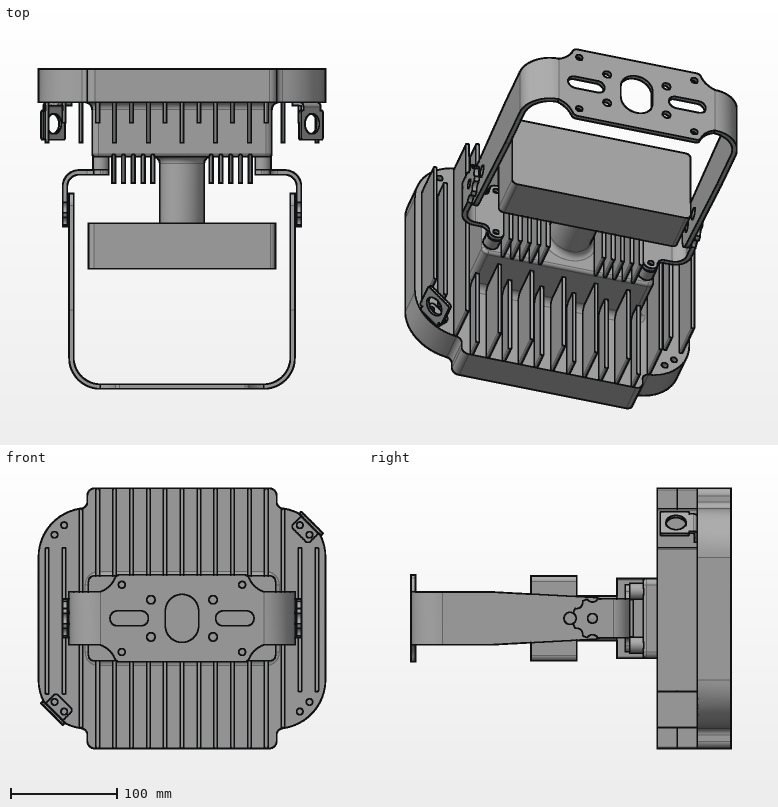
import cadquery as cq
import math


plate_width = 270.5
plate_height = 208.0
plate_corner = 46.5
plate_depth = 31.7
band_width = 178.5
band_height = 245.2
band_corner = 7.0
band_blend = 6.0

clip_hole_diameter = 6.0
clip_hole_near = 78.7
clip_hole_far = 87.8
clip_hole_shift = 32.3
clip_hole_bore = 15.0

fin_thickness = 3.3
fin_end_round = 1.5
outer_fin_x = 127.0
fins_per_side = 8
fin_pitch = outer_fin_x / fins_per_side
long_fin_depth = 69.7
short_fin_depth = 50.7
last_band_fin = 5
shoulder_fin_half = 103.2
side_fin_top = 66.7
side_fin_bottom_left = -71.5
side_fin_bottom_right = -69.0

box_width = 169.5
box_height = 75.5
box_depth = 83.0
box_corner = 6.0
box_base_fillet = 6.5
box_rim_fillet = 3.0

box_fin_first_x = 27.5
box_fin_last_x = 64.2
box_fins_per_side = 5
box_fin_depth = 107.7
box_fin_thickness = 3.5

neck_radius = 21.0
neck_fillet = 6.0

boss_x = 76.3
boss_z = 25.3
boss_radius = 7.5
boss_hole_radius = 2.7

block_width = 176.0
block_height = 80.0
block_start = 145.5
block_end = 188.5
block_corner = 5.0

arm_thickness = 4.5
arm_outer_x = 112.5
arm_inner_end_x = 68.8
arm_start = 95.3
arm_bend = 15.7
arm_half = 18.5
lug_half = 31.7
lug_outer_x = 83.0
lug_round = 6.0
lug_blend = 7.0
pad_half = 17.5
pad_thickness = 3.3

pivot_depth = 130.5
pivot_radius = 4.5
index_plate_radius = 18.7
index_circle = 21.0
index_radius = 5.7

yoke_thickness = 4.5
yoke_outer_x = 106.5
yoke_start = 117.3
yoke_end = 301.5
yoke_bend = 29.5
yoke_tip_half = 19.0
yoke_tip_round = 11.8
yoke_taper_depth = 226.8
yoke_half = 25.0
foot_half = 41.0
foot_top_x = 62.0
foot_shoulder_sag = 2.7
foot_corner = 4.5

foot_corner_hole = (56.7, 31.7, 6.3)
foot_inner_hole = (29.3, 17.5, 7.8)
cable_slot_width = 31.5
cable_slot_height = 45.2
side_slot_x = 49.8
side_slot_length = 36.2
side_slot_height = 14.2

clip_thickness = 3.0
clip_inner_bend = 1.0
clip_outer = 150.5
clip_inner = 133.5
clip_foot_width = 23.0
clip_foot_corner = 3.0
clip_tab_width = 29.3
clip_tab_start = 39.2
clip_tab_end = 67.0
clip_tab_corner = 2.5
clip_tab_hole = 19.0
clip_tab_hole_depth = 52.0
clip_angle = 45.0

SIDES = (-1, 1)
MARGIN = 0.3


def at_depth(depth):
    """Plane facing -Y at a depth; local x is X and local y is Z."""
    return cq.Workplane("XZ", origin=(0, -depth, 0))


def fin(x, thickness, bottom, top, start, end):
    """Upright plate with rounded top and bottom ends."""
    return (
        at_depth(start)
        .center(x, (bottom + top) / 2)
        .rect(thickness, top - bottom)
        .extrude(end - start)
        .edges("|Y")
        .fillet(fin_end_round)
    )


def side_bar(radius, depth, z):
    """Long round bar along X, used to cut through upright strips."""
    bar = cq.Workplane("YZ").center(-depth, z).circle(radius)
    return bar.extrude(yoke_end, both=True)


def make_plate():
    body = at_depth(0).rect(plate_width, plate_height).extrude(plate_depth)
    body = body.edges("|Y").fillet(plate_corner)
    band = at_depth(0).rect(band_width, band_height).extrude(plate_depth)
    band = band.edges("|Y").fillet(band_corner)
    plate = body.union(band)
    corner_edges = plate.edges("|Y").filter(
        lambda e: abs(abs(e.Center().x) - band_width / 2) < MARGIN
        and abs(abs(e.Center().z) - plate_height / 2) < MARGIN
    )
    return corner_edges.fillet(band_blend)


def make_housing():
    body = make_plate()

    box = at_depth(0).rect(box_width, box_height).extrude(box_depth)
    box = box.edges("|Y").fillet(box_corner).faces("<Y").edges().fillet(box_rim_fillet)
    body = body.union(box)
    around_box = cq.selectors.BoxSelector(
        (-box_width / 2 - MARGIN, -plate_depth - MARGIN, -box_height / 2 - MARGIN),
        (box_width / 2 + MARGIN, -plate_depth + MARGIN, box_height / 2 + MARGIN),
    )
    body = body.edges(around_box).fillet(box_base_fillet)

    neck = at_depth(box_depth).circle(neck_radius).extrude(block_start - box_depth)
    body = body.union(neck)
    neck_foot = cq.selectors.BoxSelector(
        (-neck_radius - MARGIN, -box_depth - MARGIN, -neck_radius - MARGIN),
        (neck_radius + MARGIN, -box_depth + MARGIN, neck_radius + MARGIN),
    )
    body = body.edges(neck_foot).fillet(neck_fillet)

    for number in range(-fins_per_side, fins_per_side + 1):
        if abs(number) <= last_band_fin:
            bottom, top = -band_height / 2, band_height / 2
        elif abs(number) == last_band_fin + 1:
            bottom, top = -shoulder_fin_half, shoulder_fin_half
        else:
            bottom = side_fin_bottom_left if number < 0 else side_fin_bottom_right
            top = side_fin_top
        end = long_fin_depth if number % 2 == 0 else short_fin_depth
        body = body.union(fin(number * fin_pitch, fin_thickness, bottom, top, plate_depth, end))

    box_fin_pitch = (box_fin_last_x - box_fin_first_x) / (box_fins_per_side - 1)
    root = box_depth - box_rim_fillet
    for side in SIDES:
        for number in range(box_fins_per_side):
            x = side * (box_fin_first_x + number * box_fin_pitch)
            new_fin = fin(x, box_fin_thickness, -box_height / 2, box_height / 2, root, box_fin_depth)
            body = body.union(new_fin)

    boss_places = [(x * boss_x, z * boss_z) for x in SIDES for z in SIDES]
    bosses = at_depth(root).pushPoints(boss_places).circle(boss_radius).extrude(arm_start - root)
    body = body.union(bosses)
    boss_holes = at_depth(box_depth).pushPoints(boss_places).circle(boss_hole_radius)
    body = body.cut(boss_holes.extrude(arm_start - box_depth))

    places = []
    for x in SIDES:
        for z in SIDES:
            for height in (clip_hole_near, clip_hole_far):
                across = clip_hole_near + clip_hole_far + clip_hole_shift - height
                places.append((x * across, z * height))
    holes = at_depth(plate_depth - clip_hole_bore).pushPoints(places).circle(clip_hole_diameter / 2)
    return body.cut(holes.extrude(clip_hole_bore))


def make_block():
    block = at_depth(block_start).rect(block_width, block_height).extrude(block_end - block_start)
    return block.edges("|Y").fillet(block_corner)


def make_left_arm():
    tip_depth = pivot_depth + index_plate_radius
    inner_bend = arm_bend - arm_thickness
    bend_x = arm_bend - arm_outer_x
    bend_depth = arm_start + arm_bend
    diagonal = math.sqrt(0.5)
    strip = (
        cq.Workplane("XY")
        .moveTo(-arm_inner_end_x, -arm_start)
        .lineTo(bend_x, -arm_start)
        .threePointArc(
            (bend_x - arm_bend * diagonal, -bend_depth + arm_bend * diagonal),
            (-arm_outer_x, -bend_depth),
        )
        .lineTo(-arm_outer_x, -tip_depth)
        .lineTo(-arm_outer_x + arm_thickness, -tip_depth)
        .lineTo(-arm_outer_x + arm_thickness, -bend_depth)
        .threePointArc(
            (bend_x - inner_bend * diagonal, -bend_depth + inner_bend * diagonal),
            (bend_x, -arm_start - arm_thickness),
        )
        .lineTo(-arm_inner_end_x, -arm_start - arm_thickness)
        .close()
        .extrude(lug_half, both=True)
    )

    strip_front = (
        at_depth(0)
        .center(-(arm_outer_x + arm_inner_end_x) / 2, 0)
        .rect(arm_outer_x - arm_inner_end_x, 2 * arm_half)
        .extrude(tip_depth)
    )
    lugs_front = (
        at_depth(0)
        .center(-(lug_outer_x + arm_inner_end_x) / 2, 0)
        .rect(lug_outer_x - arm_inner_end_x, 2 * lug_half)
        .extrude(tip_depth)
        .edges("|Y")
        .fillet(lug_round)
    )
    front = strip_front.union(lugs_front)
    lug_roots = cq.selectors.BoxSelector(
        (-lug_outer_x - MARGIN, -tip_depth, -arm_half - MARGIN),
        (-lug_outer_x + MARGIN, 0, arm_half + MARGIN),
    )
    front = front.edges("|Y").edges(lug_roots).fillet(lug_blend)

    flange_end = arm_start + arm_thickness
    side = cq.Workplane("YZ").center(-flange_end / 2, 0).rect(flange_end, 2 * lug_half)
    side = side.extrude(-arm_outer_x)
    leg = cq.Workplane("YZ").center(-pivot_depth / 2, 0).rect(pivot_depth, 2 * arm_half)
    index_plate = cq.Workplane("YZ").center(-pivot_depth, 0).circle(index_plate_radius)
    side = side.union(leg.extrude(-arm_outer_x)).union(index_plate.extrude(-arm_outer_x))

    arm = strip.intersect(front).intersect(side)

    pad = (
        at_depth(arm_start - pad_thickness)
        .center(-(lug_outer_x + arm_inner_end_x) / 2, 0)
        .rect(lug_outer_x - arm_inner_end_x, 2 * pad_half)
        .extrude(pad_thickness)
    )
    arm = arm.union(pad)

    arm = arm.cut(side_bar(pivot_radius, pivot_depth, 0))
    for degrees in (-90, -45, 0, 45, 90):
        angle = math.radians(degrees)
        notch_depth = pivot_depth + index_circle * math.cos(angle)
        arm = arm.cut(side_bar(index_radius, notch_depth, index_circle * math.sin(angle)))
    boss_holes = at_depth(arm_start).pushPoints([(-boss_x, z * boss_z) for z in SIDES])
    return arm.cut(boss_holes.circle(boss_hole_radius).extrude(arm_thickness))


def make_yoke():
    length = yoke_end - yoke_start
    middle = (yoke_start + yoke_end) / 2
    outside = cq.Workplane("XY").center(0, -middle).rect(2 * yoke_outer_x, length)
    outside = outside.extrude(foot_half, both=True).edges("|Z and <Y").fillet(yoke_bend)
    inside = (
        cq.Workplane("XY")
        .center(0, -middle + yoke_thickness)
        .rect(2 * (yoke_outer_x - yoke_thickness), length)
        .extrude(foot_half, both=True)
        .edges("|Z and <Y")
        .fillet(yoke_bend - yoke_thickness)
    )
    strip = outside.cut(inside)

    foot_start = yoke_end - yoke_thickness
    legs = (
        cq.Workplane("YZ")
        .polyline([
            (-yoke_start, yoke_tip_half),
            (-yoke_taper_depth, yoke_half),
            (-yoke_end, yoke_half),
            (-yoke_end, -yoke_half),
            (-yoke_taper_depth, -yoke_half),
            (-yoke_start, -yoke_tip_half),
        ])
        .close()
        .extrude(yoke_outer_x, both=True)
        .edges("|X and >Y")
        .fillet(yoke_tip_round)
    )
    foot_slab = at_depth(foot_start).rect(2 * yoke_outer_x, 2 * foot_half).extrude(yoke_thickness)
    side = legs.union(foot_slab)

    bend_x = yoke_outer_x - yoke_bend
    front = at_depth(yoke_start).rect(2 * yoke_outer_x, 2 * yoke_half).extrude(length)
    plate = (
        at_depth(yoke_start)
        .moveTo(-bend_x, -yoke_half)
        .sagittaArc((-foot_top_x, -foot_half), foot_shoulder_sag)
        .lineTo(foot_top_x, -foot_half)
        .sagittaArc((bend_x, -yoke_half), foot_shoulder_sag)
        .lineTo(bend_x, yoke_half)
        .sagittaArc((foot_top_x, foot_half), foot_shoulder_sag)
        .lineTo(-foot_top_x, foot_half)
        .sagittaArc((-bend_x, yoke_half), foot_shoulder_sag)
        .close()
        .extrude(length)
    )
    foot_corners = plate.edges("|Y").filter(lambda e: abs(e.Center().z) > foot_half - MARGIN)
    front = front.union(foot_corners.fillet(foot_corner))

    yoke = strip.intersect(side).intersect(front)

    yoke = yoke.cut(side_bar(pivot_radius, pivot_depth, 0))
    yoke = yoke.cut(side_bar(index_radius, pivot_depth + index_circle, 0))

    foot = at_depth(foot_start)
    for hole_x, hole_z, diameter in (foot_corner_hole, foot_inner_hole):
        places = [(x * hole_x, z * hole_z) for x in SIDES for z in SIDES]
        yoke = yoke.cut(foot.pushPoints(places).circle(diameter / 2).extrude(yoke_thickness))
    cable_slot = foot.slot2D(cable_slot_height, cable_slot_width, 90).extrude(yoke_thickness)
    side_slots = foot.pushPoints([(x * side_slot_x, 0) for x in SIDES])
    side_slots = side_slots.slot2D(side_slot_length, side_slot_height).extrude(yoke_thickness)
    return yoke.cut(cable_slot).cut(side_slots)


def make_clip(turn):
    """Clip built with its tab facing +X, then turned about the Y axis."""
    across = clip_hole_shift / math.sqrt(2)
    foot_end = plate_depth + clip_thickness
    tab_inner = clip_outer - clip_thickness

    foot = (
        at_depth(plate_depth)
        .center((clip_inner + clip_outer) / 2, -across)
        .rect(clip_outer - clip_inner, clip_foot_width)
        .extrude(clip_thickness)
        .edges("|Y and <X")
        .fillet(clip_foot_corner)
    )
    web_end = (clip_tab_start + clip_tab_end) / 2
    web = (
        at_depth(plate_depth)
        .center((tab_inner + clip_outer) / 2, -across)
        .rect(clip_thickness, clip_foot_width)
        .extrude(web_end - plate_depth)
    )
    clip = foot.union(web)
    clip = clip.edges("|Z and >X and >Y").fillet(clip_inner_bend + clip_thickness)
    inner_bend = cq.selectors.NearestToPointSelector((tab_inner, -foot_end, -across))
    clip = clip.edges("|Z").edges(inner_bend).fillet(clip_inner_bend)

    tab = cq.Workplane("YZ", origin=(tab_inner, 0, -across))
    tab = tab.center(-(clip_tab_start + clip_tab_end) / 2, 0)
    tab = tab.rect(clip_tab_end - clip_tab_start, clip_tab_width).extrude(clip_thickness)
    tab = tab.edges("|X").fillet(clip_tab_corner)
    clip = clip.union(tab)

    tab_hole = cq.Workplane("YZ", origin=(tab_inner, -clip_tab_hole_depth, -across))
    clip = clip.cut(tab_hole.circle(clip_tab_hole / 2).extrude(clip_thickness))
    hole_x = (clip_hole_near + clip_hole_far + clip_hole_shift) / math.sqrt(2)
    half_gap = (clip_hole_far - clip_hole_near) / math.sqrt(2)
    screw_holes = at_depth(plate_depth).pushPoints([(hole_x, s * half_gap - across) for s in SIDES])
    clip = clip.cut(screw_holes.circle(clip_hole_diameter / 2).extrude(clip_thickness))
    return clip.rotate((0, 0, 0), (0, 1, 0), turn - clip_angle)


housing = make_housing()
block = make_block()
left_arm = make_left_arm()
right_arm = left_arm.mirror("YZ")
yoke = make_yoke()
clips = [make_clip(turn) for turn in (0, 180)]

result = cq.Compound.makeCompound([
    housing.val(),
    block.val(),
    left_arm.val(),
    right_arm.val(),
    yoke.val(),
    *[clip.val() for clip in clips],
])